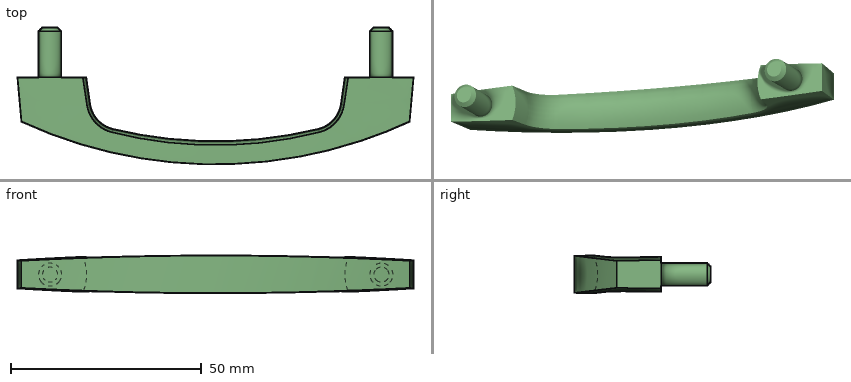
import cadquery as cq
import math

LENGTH = 104.0
GRIP_DEPTH = 22.9
END_INSET = 1.0
END_DEPTH = 11.6

GRIP_WIDTH = 6.1
OPENING_HALF_WIDTH = 33.9
OPENING_DRAFT = 8.3
OPENING_FILLET = 7.8
WALL_SETBACK = 0.99
SETBACK_HEIGHT = 4.8

FRONT_HALF_HEIGHT = 4.9
DOME_RADIUS = 821.6
DOME_TILT = 1.2

PIN_DIAMETER = 6.0
PIN_LENGTH = 13.1
PIN_CHAMFER = 1.0
PIN_OFFSET = 43.5

MARGIN = 2.1
TALL = 2 * (FRONT_HALF_HEIGHT + MARGIN)

end_x = LENGTH / 2 - END_INSET
end_rise = GRIP_DEPTH - END_DEPTH
front_radius = (end_x**2 + end_rise**2) / (2 * end_rise)
arc_center_y = front_radius - GRIP_DEPTH
inner_radius = front_radius - GRIP_WIDTH


def make_blank():
    """Solid outline with a bowed front and slightly tapered ends."""
    return (
        cq.Workplane("XY")
        .moveTo(-LENGTH / 2, 0)
        .lineTo(-end_x, -END_DEPTH)
        .threePointArc((0, -GRIP_DEPTH), (end_x, -END_DEPTH))
        .lineTo(LENGTH / 2, 0)
        .close()
        .extrude(TALL / 2, both=True)
    )


def make_dome_envelope(side):
    """Space within one domed face: side = 1 is the upper face, -1 the lower."""
    half_width = LENGTH / 2 + MARGIN
    edge_drop = DOME_RADIUS - math.sqrt(DOME_RADIUS**2 - half_width**2)
    edge_z = side * (FRONT_HALF_HEIGHT - edge_drop)
    front = cq.Workplane("XZ", origin=(0, -GRIP_DEPTH, 0))
    envelope = (
        front.moveTo(-half_width, edge_z)
        .threePointArc((0, side * FRONT_HALF_HEIGHT), (half_width, edge_z))
        .lineTo(half_width, -side * TALL)
        .lineTo(-half_width, -side * TALL)
        .close()
        .extrude(GRIP_DEPTH + 2 * MARGIN, both=True)
    )
    pivot = (0, -GRIP_DEPTH, side * FRONT_HALF_HEIGHT)
    return envelope.rotate(pivot, (1, pivot[1], pivot[2]), side * DOME_TILT)


def opening_path():
    """Mid-height line of the opening: wall, fillet, bowed floor, fillet, wall."""
    draft = math.radians(OPENING_DRAFT)
    along = (math.sin(draft), -math.cos(draft))
    inward = (math.cos(draft), math.sin(draft))

    base_x = -OPENING_HALF_WIDTH + OPENING_FILLET * inward[0]
    base_y = OPENING_FILLET * inward[1] - arc_center_y
    half_b = base_x * along[0] + base_y * along[1]
    c = base_x**2 + base_y**2 - (inner_radius - OPENING_FILLET)**2
    travel = -half_b + math.sqrt(half_b**2 - c)
    center_x = base_x + travel * along[0]
    center_y = base_y + travel * along[1] + arc_center_y

    def on_fillet(angle):
        return (
            center_x + OPENING_FILLET * math.cos(angle),
            center_y + OPENING_FILLET * math.sin(angle),
        )

    wall_angle = math.pi + draft
    floor_angle = 2 * math.pi + math.atan2(center_y - arc_center_y, center_x)
    wall_end = on_fillet(wall_angle)
    fillet_mid = on_fillet((wall_angle + floor_angle) / 2)
    floor_end = on_fillet(floor_angle)
    start = (-OPENING_HALF_WIDTH - MARGIN * math.tan(draft), MARGIN)

    def mirrored(point):
        return (-point[0], point[1])

    return (
        cq.Workplane("XY")
        .moveTo(*start)
        .lineTo(*wall_end)
        .threePointArc(fillet_mid, floor_end)
        .threePointArc((0, arc_center_y - inner_radius), mirrored(floor_end))
        .threePointArc(mirrored(fillet_mid), mirrored(wall_end))
        .lineTo(*mirrored(start))
    )


def make_opening():
    """Straight core of the opening."""
    return opening_path().close().extrude(TALL / 2, both=True)


def make_wall_rounding():
    """Channel swept along the opening that leaves its wall rounded outward."""
    wall_radius = (SETBACK_HEIGHT**2 + WALL_SETBACK**2) / (2 * WALL_SETBACK)
    half_height = TALL / 2
    setback = wall_radius - math.sqrt(wall_radius**2 - half_height**2)
    draft = math.radians(OPENING_DRAFT)
    plane = cq.Plane(
        origin=(-OPENING_HALF_WIDTH - MARGIN * math.tan(draft), MARGIN, 0),
        xDir=(-math.cos(draft), -math.sin(draft), 0),
        normal=(math.sin(draft), -math.cos(draft), 0),
    )
    return (
        cq.Workplane(plane)
        .moveTo(-MARGIN, -half_height)
        .lineTo(setback, -half_height)
        .threePointArc((0, 0), (setback, half_height))
        .lineTo(-MARGIN, half_height)
        .close()
        .sweep(opening_path())
    )


def make_handle():
    handle = make_blank().cut(make_opening()).cut(make_wall_rounding())
    for side in (1, -1):
        handle = handle.intersect(make_dome_envelope(side))
    return handle


def make_pin(x):
    """Chamfered pin standing on the mounting face."""
    return (
        cq.Workplane("XZ", origin=(x, 0, 0))
        .circle(PIN_DIAMETER / 2)
        .extrude(-PIN_LENGTH)
        .faces(">Y")
        .chamfer(PIN_CHAMFER)
    )


handle = make_handle()
pins = [make_pin(x).val() for x in (-PIN_OFFSET, PIN_OFFSET)]

result = cq.Compound.makeCompound([handle.solids().val(), *pins])